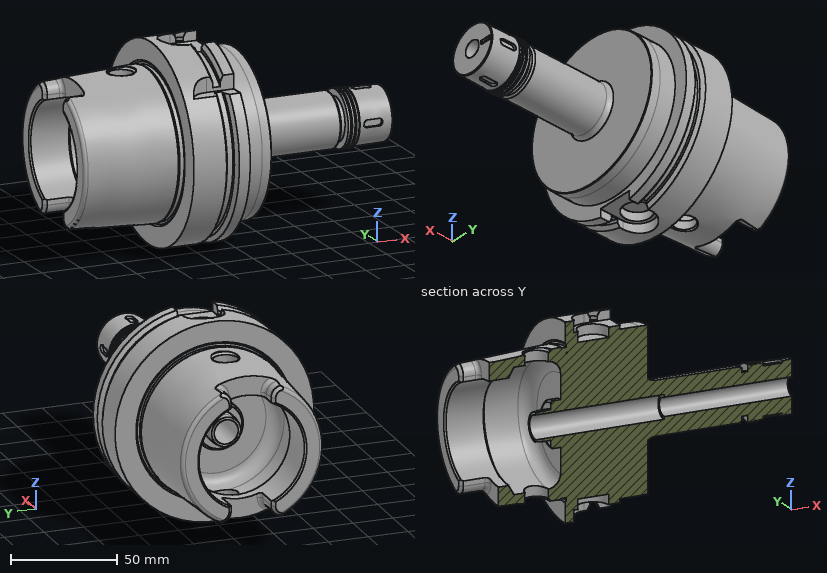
import cadquery as cq
import math


TOTAL_LENGTH = 170.0
FLANGE_START = 50.0
FLANGE_END = 79.0
BOSS_STEP = 88.7
BOSS_END = 93.8
NECK_FILLET_END = 97.2
NECK_END = 143.1
NUT_START = 146.0
NUT_TAPER_START = 152.3
NUT_END = 169.5

SHANK_TIP_RADIUS = 35.5
SHANK_BASE_RADIUS = 37.9
SHANK_TIP_FILLET = 1.9
TAPER_END = 47.5
UNDERCUT_START = 48.5
UNDERCUT_RADIUS = 37.4
UNDERCUT_DEPTH = 0.7
UNDERCUT_FLOOR_RADIUS = 38.6
UNDERCUT_MOUTH_RADIUS = 39.5

FLANGE_RADIUS = 50.0
GROOVE_START = 66.8
GROOVE_END = 73.5
GROOVE_BEVEL_LENGTH = 1.45
GROOVE_BEVEL_HEIGHT = 2.4
GROOVE_RADIUS = 45.9

BOSS_RADIUS = 42.2
BOSS_FRONT_RADIUS = 42.0
BOSS_CHAMFER = 0.3
NECK_RADIUS = 28.0 / 2
NECK_FILLET_RADIUS = 5.1
NECK_CHAMFER = 1.0
NUT_GAP_RADIUS = 22.0 / 2
NUT_COLLAR_RADIUS = 29.0 / 2
NUT_BASE_RADIUS = 14.1
NUT_TIP_RADIUS = 27.5 / 2
NUT_CHAMFER = 0.42
RING_STARTS = (147.5, 149.8)
RING_WIDTH = 0.7
RING_DEPTH = 0.5

BORE_RADIUS = 53.0 / 2
BORE_CHAMFER = 0.8
BORE_END = 20.4
CHAMBER_START = 23.3
CHAMBER_RADIUS = 31.5
CHAMBER_END = 47.6
CHAMBER_FILLET = 6.6

TUBE_TIP = 34.5
TUBE_DIAMETER = 15.5
TUBE_TAPER_LENGTH = 3.0
TUBE_TIP_DIAMETER = 14.6
COLLAR_FACE = 42.5
COLLAR_DIAMETER = 24.0
COLLAR_CHAMFER = 1.0

STEPPED_HOLE = ((12.0, 102.0), (9.4, TOTAL_LENGTH))

DRIVE_SLOTS = ((1, 10.0), (-1, 15.0))
DRIVE_HALF_WIDTH = 20.0 / 2
DRIVE_CORNER_RADIUS = 5.5
DRIVE_CORNER_START = 27.0
DRIVE_FLOOR_FILLET = 2.0
DRIVE_MOUTH_CHAMFER = 1.7
DRIVE_SHOULDER = 26.5

CROSS_HOLE_X = 35.2
CROSS_HOLE_DIAMETER = 12.0
CROSS_MOUTH_DIAMETER = 14.3
CROSS_MOUTH_HEIGHT = 37.2

KEYWAY_X = 65.0
KEYWAY_WIDTH = 20.0
KEYWAY_FLOOR = 44.0
KEYWAY_HOLE_DIAMETER = 16.0
KEYWAY_HOLE_DEPTH = 5.1

NOTCH_X = 64.8
NOTCH_OFFSET = 31.5
NOTCH_RADIUS = KEYWAY_WIDTH / 2

SPANNER_SLOT_COUNT = 4
SPANNER_SLOT_X = 159.3
SPANNER_SLOT_LENGTH = 9.7
SPANNER_SLOT_WIDTH = 3.7
SPANNER_SLOT_FLOOR = 12.5
FACE_KEY_INNER = 6.5
FACE_KEY_OUTER = 13.5
FACE_KEY_WIDTH = 1.7


def revolve(outline):
    """Turn a closed outline of (axial, radial) points about the X axis."""
    return outline.close().revolve(360, (0, 0, 0), (1, 0, 0))


def make_ring_groove(start):
    floor = NUT_COLLAR_RADIUS - RING_DEPTH
    outside = NUT_COLLAR_RADIUS + RING_DEPTH
    end = start + RING_WIDTH
    outline = cq.Workplane("XY").moveTo(start, floor).lineTo(end, floor)
    return revolve(outline.lineTo(end, outside).lineTo(start, outside))


def neck_fillet_height(x):
    """Radius at x of the fillet that is tangent to the neck and meets the boss face at an angle."""
    distance = NECK_FILLET_END - x
    return NECK_RADIUS + NECK_FILLET_RADIUS - math.sqrt(NECK_FILLET_RADIUS**2 - distance**2)


def make_body():
    """Solid outer shape of the shank, flange, boss, neck and nut."""
    fillet_middle = (BOSS_END + NECK_FILLET_END) / 2
    outline = (
        cq.Workplane("XY")
        .moveTo(0, 0)
        .lineTo(0, SHANK_TIP_RADIUS)
        .lineTo(TAPER_END, SHANK_BASE_RADIUS)
        .lineTo(UNDERCUT_START, UNDERCUT_RADIUS)
        .lineTo(FLANGE_START + UNDERCUT_DEPTH, UNDERCUT_RADIUS)
        .lineTo(FLANGE_START + UNDERCUT_DEPTH, UNDERCUT_FLOOR_RADIUS)
        .lineTo(FLANGE_START, UNDERCUT_MOUTH_RADIUS)
        .lineTo(FLANGE_START, FLANGE_RADIUS)
        .lineTo(GROOVE_START, FLANGE_RADIUS)
        .lineTo(GROOVE_START + GROOVE_BEVEL_LENGTH, FLANGE_RADIUS - GROOVE_BEVEL_HEIGHT)
        .lineTo(GROOVE_START + GROOVE_BEVEL_LENGTH, GROOVE_RADIUS)
        .lineTo(GROOVE_END - GROOVE_BEVEL_LENGTH, GROOVE_RADIUS)
        .lineTo(GROOVE_END - GROOVE_BEVEL_LENGTH, FLANGE_RADIUS - GROOVE_BEVEL_HEIGHT)
        .lineTo(GROOVE_END, FLANGE_RADIUS)
        .lineTo(FLANGE_END, FLANGE_RADIUS)
        .lineTo(FLANGE_END, BOSS_RADIUS)
        .lineTo(BOSS_STEP, BOSS_RADIUS)
        .lineTo(BOSS_END - BOSS_CHAMFER, BOSS_FRONT_RADIUS)
        .lineTo(BOSS_END, BOSS_FRONT_RADIUS - BOSS_CHAMFER)
        .lineTo(BOSS_END, neck_fillet_height(BOSS_END))
        .threePointArc(
            (fillet_middle, neck_fillet_height(fillet_middle)),
            (NECK_FILLET_END, NECK_RADIUS),
        )
        .lineTo(NECK_END - NECK_CHAMFER, NECK_RADIUS)
        .lineTo(NECK_END, NECK_RADIUS - NECK_CHAMFER)
        .lineTo(NECK_END, NUT_GAP_RADIUS)
        .lineTo(NUT_START, NUT_GAP_RADIUS)
        .lineTo(NUT_START, NUT_COLLAR_RADIUS)
        .lineTo(NUT_TAPER_START - RING_WIDTH, NUT_COLLAR_RADIUS)
        .lineTo(NUT_TAPER_START, NUT_BASE_RADIUS)
        .lineTo(NUT_END - NUT_CHAMFER, NUT_TIP_RADIUS)
        .lineTo(NUT_END, NUT_TIP_RADIUS - NUT_CHAMFER)
        .lineTo(NUT_END, 0)
    )
    return revolve(outline).faces("<X").edges().fillet(SHANK_TIP_FILLET)


def make_cavity():
    """Hollow of the shank: a bore that widens into a chamber with a rounded floor corner."""
    floor_radius = CHAMBER_RADIUS - CHAMBER_FILLET
    return revolve(
        cq.Workplane("XY")
        .moveTo(0, 0)
        .lineTo(0, BORE_RADIUS + BORE_CHAMFER)
        .lineTo(BORE_CHAMFER, BORE_RADIUS)
        .lineTo(BORE_END, BORE_RADIUS)
        .lineTo(CHAMBER_START, CHAMBER_RADIUS)
        .lineTo(CHAMBER_END - CHAMBER_FILLET, CHAMBER_RADIUS)
        .radiusArc((CHAMBER_END, floor_radius), CHAMBER_FILLET)
        .lineTo(CHAMBER_END, 0)
    )


def make_coolant_tube():
    tube_radius = TUBE_DIAMETER / 2
    collar_radius = COLLAR_DIAMETER / 2
    return revolve(
        cq.Workplane("XY")
        .moveTo(TUBE_TIP, 0)
        .lineTo(TUBE_TIP, TUBE_TIP_DIAMETER / 2)
        .lineTo(TUBE_TIP + TUBE_TAPER_LENGTH, tube_radius)
        .lineTo(COLLAR_FACE, tube_radius)
        .lineTo(COLLAR_FACE, collar_radius - COLLAR_CHAMFER)
        .lineTo(COLLAR_FACE + COLLAR_CHAMFER, collar_radius)
        .lineTo(CHAMBER_END, collar_radius)
        .lineTo(CHAMBER_END, 0)
    )


def make_stepped_hole():
    outline = cq.Workplane("XY").moveTo(TUBE_TIP, 0)
    start = TUBE_TIP
    for diameter, end in STEPPED_HOLE:
        outline = outline.lineTo(start, diameter / 2).lineTo(end, diameter / 2)
        start = end
    return revolve(outline.lineTo(TOTAL_LENGTH, 0))


def drive_slot_outline(x, clearance):
    """Slot section at x, widened by clearance; its walls round outward into level shoulders."""
    radius = DRIVE_CORNER_RADIUS - clearance
    half_width = DRIVE_HALF_WIDTH + clearance
    shoulder = DRIVE_CORNER_START + radius
    arc_shift = radius * (1 - math.cos(math.radians(45)))
    arc_rise = radius * math.sin(math.radians(45))
    arc_middle = (half_width + arc_shift, DRIVE_CORNER_START + arc_rise)
    return (
        cq.Workplane("YZ", origin=(x, 0, 0))
        .moveTo(half_width, 0)
        .lineTo(half_width, DRIVE_CORNER_START)
        .threePointArc(arc_middle, (half_width + radius, shoulder))
        .lineTo(DRIVE_SHOULDER, shoulder)
        .lineTo(DRIVE_SHOULDER, FLANGE_RADIUS)
        .lineTo(-DRIVE_SHOULDER, FLANGE_RADIUS)
        .lineTo(-DRIVE_SHOULDER, shoulder)
        .lineTo(-half_width - radius, shoulder)
        .threePointArc((-arc_middle[0], arc_middle[1]), (-half_width, DRIVE_CORNER_START))
        .lineTo(-half_width, 0)
        .close()
    )


def make_drive_slot(side, depth):
    """Slot across the shank tip with a chamfered mouth and filleted floor edges."""
    slot = drive_slot_outline(0, 0).extrude(depth)
    margin = DRIVE_FLOOR_FILLET / 10
    wall_edges = cq.selectors.BoxSelector(
        (depth - margin, -DRIVE_SHOULDER + margin, margin),
        (depth + margin, DRIVE_SHOULDER - margin, FLANGE_RADIUS - margin),
    )
    slot = slot.faces(">X").edges(wall_edges).fillet(DRIVE_FLOOR_FILLET)
    mouth_wires = [
        drive_slot_outline(0, DRIVE_MOUTH_CHAMFER).wire().val(),
        drive_slot_outline(DRIVE_MOUTH_CHAMFER, 0).wire().val(),
    ]
    mouth = cq.Workplane(cq.Solid.makeLoft(mouth_wires, True))
    slot = slot.union(mouth)
    return slot if side > 0 else slot.mirror("XY")


def make_cross_hole():
    half_mouth = CROSS_MOUTH_DIAMETER / 2
    half_hole = CROSS_HOLE_DIAMETER / 2
    hole = (
        cq.Workplane("XZ")
        .moveTo(0, BORE_RADIUS)
        .lineTo(half_hole, BORE_RADIUS)
        .lineTo(half_hole, CROSS_MOUTH_HEIGHT - (half_mouth - half_hole))
        .lineTo(half_mouth, CROSS_MOUTH_HEIGHT)
        .lineTo(half_mouth, FLANGE_RADIUS)
        .lineTo(0, FLANGE_RADIUS)
        .close()
        .revolve(360, (0, 0, 0), (0, 1, 0))
    )
    return hole.translate((CROSS_HOLE_X, 0, 0))


def round_ended_cut(x, y, radius, floor):
    """Upright cut with a round end at (x, y) that runs out through the front of the flange."""
    height = FLANGE_RADIUS - floor
    plane = cq.Workplane("XY").workplane(offset=floor)
    run = FLANGE_END - x
    end = plane.center(x, y).circle(radius).extrude(height)
    return end.union(plane.center(x + run / 2, y).rect(run, 2 * radius).extrude(height))


def make_keyway():
    hole = (
        cq.Workplane("XY")
        .workplane(offset=KEYWAY_FLOOR - KEYWAY_HOLE_DEPTH)
        .center(KEYWAY_X, 0)
        .circle(KEYWAY_HOLE_DIAMETER / 2)
        .extrude(KEYWAY_HOLE_DEPTH)
    )
    return round_ended_cut(KEYWAY_X, 0, KEYWAY_WIDTH / 2, KEYWAY_FLOOR).union(hole)


def make_notch():
    return round_ended_cut(NOTCH_X, -NOTCH_OFFSET - NOTCH_RADIUS, NOTCH_RADIUS, NOTCH_OFFSET)


def make_spanner_slot(angle):
    slot = (
        cq.Workplane("XY")
        .workplane(offset=SPANNER_SLOT_FLOOR)
        .center(SPANNER_SLOT_X, 0)
        .slot2D(SPANNER_SLOT_LENGTH, SPANNER_SLOT_WIDTH)
        .extrude(NUT_COLLAR_RADIUS - SPANNER_SLOT_FLOOR)
    )
    return slot.rotate((0, 0, 0), (1, 0, 0), angle)


def make_face_key():
    length = FACE_KEY_OUTER - FACE_KEY_INNER
    thickness = TOTAL_LENGTH - NUT_END + NUT_CHAMFER
    middle = (FACE_KEY_OUTER + FACE_KEY_INNER) / 2
    key = cq.Workplane("XY").box(thickness, length, FACE_KEY_WIDTH)
    return key.translate((TOTAL_LENGTH - thickness / 2, middle, 0))


result = make_body().union(make_face_key())
result = result.cut(make_cavity()).union(make_coolant_tube()).cut(make_stepped_hole())
for ring_start in RING_STARTS:
    result = result.cut(make_ring_groove(ring_start))
for slot_side, slot_depth in DRIVE_SLOTS:
    result = result.cut(make_drive_slot(slot_side, slot_depth))
for feature in (make_cross_hole(), make_keyway()):
    result = result.cut(feature).cut(feature.mirror("XY"))
result = result.cut(make_notch())
for index in range(SPANNER_SLOT_COUNT):
    result = result.cut(make_spanner_slot(index * 360 / SPANNER_SLOT_COUNT))